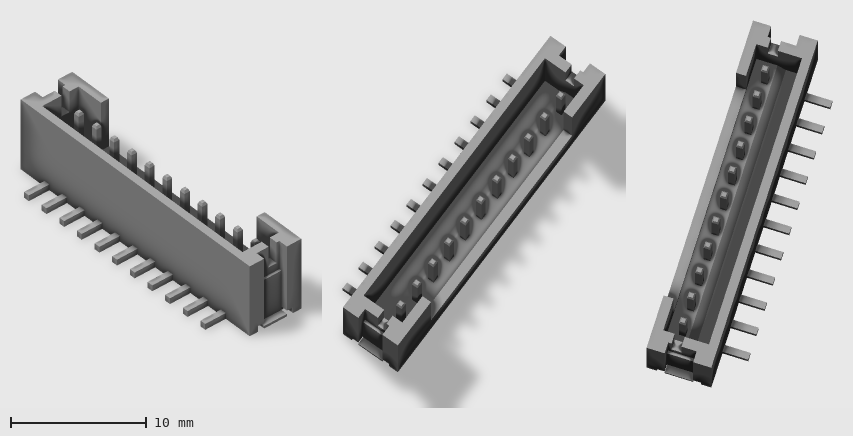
import cadquery as cq


length = 25.95
depth = 5.0
height = 6.6

end_wall = 1.63
front_wall = 0.7
back_wall = 0.78
floor_low = 1.05
floor_high_front = 2.6
floor_low_back = 1.95
floor_high = floor_low + floor_high_front - floor_low_back

opening_length = 17.65
opening_floor = 2.08

channel_depth = 0.85
channel_width = 2.2
slot_width = 0.78
slot_depth = 1.95
slot_center_y = 2.95
recess_width = 3.4
recess_height = 0.55
tab_thickness = 0.23
tab_height = 3.95

pin_count = 11
pitch = 2.0
pin_size = 0.52
pin_center_y = 3.11
pin_top = 5.65
tip_height = 0.23
tip_size = 0.3
lead_length = 2.0
lead_size = 0.55


def box(x_range, y_range, z_range):
    """Box between the given limits."""
    spans = [high - low for low, high in (x_range, y_range, z_range)]
    corner = (x_range[0], y_range[0], z_range[0])
    return cq.Workplane("XY").box(*spans, centered=False).translate(corner)


def around(center, width):
    """Limits of a span of the given width about a centre."""
    return (center - width / 2, center + width / 2)


def both_ends(left_shape):
    """The left-end shape together with its mirror image at the right end."""
    return left_shape.union(left_shape.mirror("YZ"))


cavity_half = length / 2 - end_wall
cavity_back = depth - back_wall
left_end = -length / 2


def make_cavity():
    """Well with a low front floor that slopes up to the raised floor under the pins."""
    profile = [
        (front_wall, height),
        (front_wall, floor_low),
        (floor_low_back, floor_low),
        (floor_high_front, floor_high),
        (cavity_back, floor_high),
        (cavity_back, height),
    ]
    well = cq.Workplane("YZ").polyline(profile).close()
    return well.extrude(cavity_half, both=True)


def make_end_cuts():
    """Channel, top slot and bottom recess in the left end."""
    channel_x = (left_end, left_end + channel_depth)
    channel = box(channel_x, around(depth / 2, channel_width), (0, height))
    recess = box(channel_x, around(depth / 2, recess_width), (0, recess_height))
    slot = box(
        (left_end, -cavity_half),
        around(slot_center_y, slot_width),
        (height - slot_depth, height),
    )
    return channel.union(recess).union(slot)


def make_tab():
    """L-shaped solder tab standing in the left channel, its foot flush with the end face."""
    tab_y = around(depth / 2, channel_width)
    inner = left_end + channel_depth
    upright = box((inner - tab_thickness, inner), tab_y, (0, tab_height))
    foot = box((left_end, inner), tab_y, (0, tab_thickness))
    return upright.union(foot)


def make_pin(x):
    """Upright pin with a tapered tip, and its lead running out at the front."""
    shoulder = pin_top - tip_height
    post = box(around(x, pin_size), around(pin_center_y, pin_size), (0, shoulder))
    tip = (
        cq.Workplane("XY", origin=(x, pin_center_y, shoulder))
        .rect(pin_size, pin_size)
        .workplane(offset=tip_height)
        .rect(tip_size, tip_size)
        .loft()
    )
    lead = box(around(x, lead_size), (-lead_length, pin_center_y), (0, lead_size))
    return post.union(tip).union(lead)


housing = box((left_end, length / 2), (0, depth), (0, height))
housing = housing.cut(make_cavity())
housing = housing.cut(box(around(0, opening_length), (cavity_back, depth), (opening_floor, height)))
housing = housing.cut(both_ends(make_end_cuts()))

result = housing.union(both_ends(make_tab()))
for index in range(pin_count):
    result = result.union(make_pin((index - (pin_count - 1) / 2) * pitch))